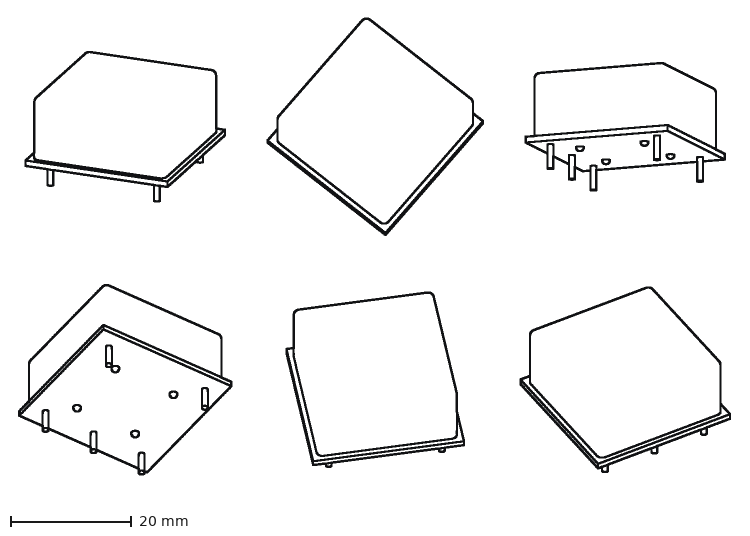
import cadquery as cq

base_side = 25.4
base_thickness = 1.0

can_side = 23.62
can_height = 11.0
can_radius = 1.0

pin_diameter = 1.0
pin_length = 4.01
pin_offset = 9.52

bump_diameter = 1.32
bump_radius = bump_diameter / 2
bump_offset = 5.77

pin_points = [
    (-pin_offset, -pin_offset),
    (pin_offset, -pin_offset),
    (-pin_offset, pin_offset),
    (0, pin_offset),
    (pin_offset, pin_offset),
]


def make_base():
    return cq.Workplane("XY").box(base_side, base_side, base_thickness, centered=(True, True, False))


def make_can():
    """Box with rounded upright edges and a rounded top rim."""
    can = cq.Workplane("XY").workplane(offset=base_thickness)
    can = can.box(can_side, can_side, can_height, centered=(True, True, False))
    return can.edges("|Z or >Z").fillet(can_radius)


def make_pins():
    return cq.Workplane("XY").pushPoints(pin_points).circle(pin_diameter / 2).extrude(-pin_length)


def make_bumps():
    """Spheres centred on the underside, so that half of each stands out."""
    bumps = cq.Workplane("XY").rect(2 * bump_offset, 2 * bump_offset, forConstruction=True)
    return bumps.vertices().sphere(bump_radius)


result = make_base().union(make_can()).union(make_pins()).union(make_bumps())